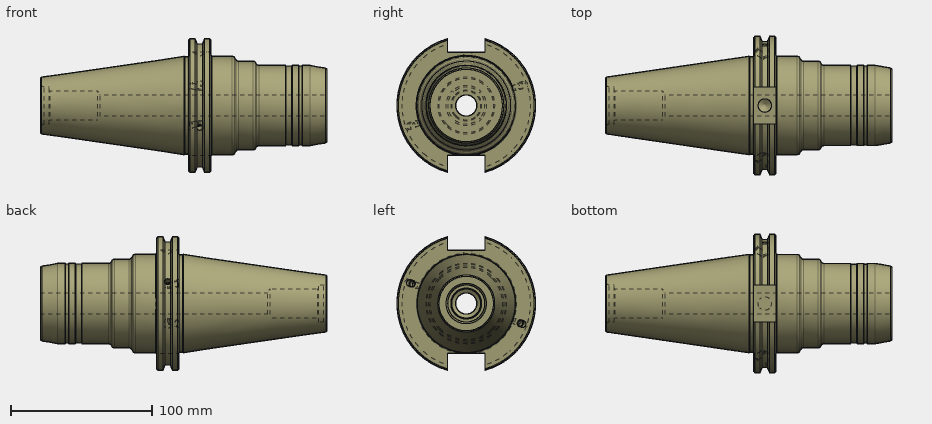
import cadquery as cq
import math


total_length = 203.2
gauge_x = 101.8
gauge_radius = 70.0 / 2
taper_ratio = 7 / 24
small_end_radius = gauge_radius - gauge_x * taper_ratio / 2
small_end_chamfer = 0.8
neck_radius = 69.3 / 2
neck_bevel = 0.6

flange_start = 105.0
flange_width = 15.8
flange_end = flange_start + flange_width
flange_middle = flange_start + flange_width / 2
flange_radius = 98.3 / 2
flange_chamfer = 1.0
flange_foot_fillet = 0.6
groove_depth = 3.7
groove_floor_width = 3.7
groove_top_width = 7.0
groove_floor_radius = flange_radius - groove_depth

body_radius = gauge_radius
collar_radius = 63.0 / 2
nose_radius = 57.0 / 2
body_step_x = 136.0
collar_step_x = 150.8
step_blend_radius = 2.0
step_wall_angle = 60
nose_taper_x = 191.0
nose_end_radius = 26.6
nose_end_chamfer = 1.0

ring_groove_radius = 56.0 / 2
ring_grooves = [(173.5, 5.0), (182.9, 2.8)]

slot_width = 26.2
upper_slot_floor = 37.8
lower_slot_floor = 35.4
dimple_diameter = 9.5
dimple_tip_angle = 118

mouth_diameter = 28.7
mouth_chamfer_length = 2.5
counterbore_diameter = 26.2
counterbore_depth = 6.0
thread_countersink_diameter = 22.0
thread_diameter = 20.5
thread_end = 40.6
through_diameter = 14.8
bore_cone_angle = 118

coolant_position_angle = 20
coolant_mouth_radius = 41.9
coolant_tilt = 33
coolant_mouth_diameter = 5.0
coolant_mouth_depth = 2.0
coolant_diameter = 4.0
plug_diameter = 4.3


def turned_body():
    foot = flange_foot_fillet
    chamfer = flange_chamfer
    outline = (
        cq.Workplane("XY")
        .moveTo(0, 0)
        .lineTo(0, small_end_radius - small_end_chamfer)
        .lineTo(small_end_chamfer, small_end_radius + small_end_chamfer * taper_ratio / 2)
        .lineTo(gauge_x, gauge_radius)
        .lineTo(gauge_x + neck_bevel, neck_radius)
        .lineTo(flange_start - foot, neck_radius)
        .tangentArcPoint((flange_start, neck_radius + foot), relative=False)
        .lineTo(flange_start, flange_radius - chamfer)
        .lineTo(flange_start + chamfer, flange_radius)
        .lineTo(flange_middle - groove_top_width / 2, flange_radius)
        .lineTo(flange_middle - groove_floor_width / 2, groove_floor_radius)
        .lineTo(flange_middle + groove_floor_width / 2, groove_floor_radius)
        .lineTo(flange_middle + groove_top_width / 2, flange_radius)
        .lineTo(flange_end - chamfer, flange_radius)
        .lineTo(flange_end, flange_radius - chamfer)
        .lineTo(flange_end, body_radius + foot)
        .tangentArcPoint((flange_end + foot, body_radius), relative=False)
    )
    outline = rounded_step(outline, body_step_x, body_radius, collar_radius)
    outline = rounded_step(outline, collar_step_x, collar_radius, nose_radius)
    wall = nose_radius - ring_groove_radius
    for start, width in ring_grooves:
        outline = (
            outline.lineTo(start, nose_radius)
            .lineTo(start + wall, ring_groove_radius)
            .lineTo(start + width - wall, ring_groove_radius)
            .lineTo(start + width, nose_radius)
        )
    outline = (
        outline.lineTo(nose_taper_x, nose_radius)
        .lineTo(total_length - nose_end_chamfer, nose_end_radius)
        .lineTo(total_length, nose_end_radius - nose_end_chamfer)
        .lineTo(total_length, 0)
        .close()
    )
    return outline.revolve(360, (0, 0, 0), (1, 0, 0))


def rounded_step(outline, start, radius, next_radius):
    """Run to a step and go down it: convex arc, sloping straight wall, concave arc, all tangent."""
    slope = math.radians(step_wall_angle)
    arc_length = step_blend_radius * math.sin(slope)
    arc_drop = step_blend_radius * (1 - math.cos(slope))
    wall_drop = radius - next_radius - 2 * arc_drop
    wall_start = start + arc_length
    wall_end = wall_start + wall_drop / math.tan(slope)
    return (
        outline.lineTo(start, radius)
        .tangentArcPoint((wall_start, radius - arc_drop), relative=False)
        .lineTo(wall_end, next_radius + arc_drop)
        .tangentArcPoint((wall_end + arc_length, next_radius), relative=False)
    )


def cone_length(large_diameter, small_diameter, tip_angle):
    return (large_diameter - small_diameter) / 2 / math.tan(math.radians(tip_angle / 2))


def rear_bore():
    countersink = (thread_countersink_diameter - thread_diameter) / 2
    cone_end = thread_end + cone_length(thread_diameter, through_diameter, bore_cone_angle)
    return (
        cq.Workplane("XY")
        .moveTo(0, 0)
        .lineTo(0, mouth_diameter / 2)
        .lineTo(mouth_chamfer_length, counterbore_diameter / 2)
        .lineTo(counterbore_depth, counterbore_diameter / 2)
        .lineTo(counterbore_depth, thread_countersink_diameter / 2)
        .lineTo(counterbore_depth + countersink, thread_diameter / 2)
        .lineTo(thread_end, thread_diameter / 2)
        .lineTo(cone_end, through_diameter / 2)
        .lineTo(total_length, through_diameter / 2)
        .lineTo(total_length, 0)
        .close()
        .revolve(360, (0, 0, 0), (1, 0, 0))
    )


def drive_slots():
    """Upper and lower slots across the flange, cut to different depths."""
    size = (flange_width, slot_width, flange_radius)
    slot = cq.Workplane("XY").box(*size).translate((flange_middle, 0, flange_radius / 2))
    upper = slot.translate((0, 0, upper_slot_floor))
    lower = slot.translate((0, 0, -lower_slot_floor - flange_radius))
    return upper.union(lower)


def slot_dimple():
    depth = cone_length(dimple_diameter, 0, dimple_tip_angle)
    top = cq.Vector(flange_middle, 0, upper_slot_floor)
    return cq.Workplane(cq.Solid.makeCone(dimple_diameter / 2, 0, depth, top, cq.Vector(0, 0, -1)))


def coolant_hole():
    """Stepped hole leaning inward from the flange face, met by a radial plug hole from the V groove."""
    tilt = math.radians(coolant_tilt)
    direction = cq.Vector(math.cos(tilt), -math.sin(tilt), 0)
    mouth = cq.Vector(flange_start, coolant_mouth_radius, 0)
    entry = mouth - direction * coolant_mouth_diameter
    hole_length = (flange_middle - flange_start) / math.cos(tilt)
    meeting_point = mouth + direction * hole_length
    wide = cq.Solid.makeCylinder(
        coolant_mouth_diameter / 2,
        coolant_mouth_diameter + coolant_mouth_depth,
        entry,
        direction,
    )
    narrow = cq.Solid.makeCylinder(coolant_diameter / 2, hole_length, mouth, direction)
    plug = cq.Solid.makeCylinder(
        plug_diameter / 2,
        flange_radius - meeting_point.y,
        meeting_point,
        cq.Vector(0, 1, 0),
    )
    return cq.Workplane(wide.fuse(narrow, plug))


result = turned_body().cut(rear_bore()).cut(drive_slots()).cut(slot_dimple())
for angle in (coolant_position_angle, coolant_position_angle + 180):
    result = result.cut(coolant_hole().rotate((0, 0, 0), (1, 0, 0), angle))